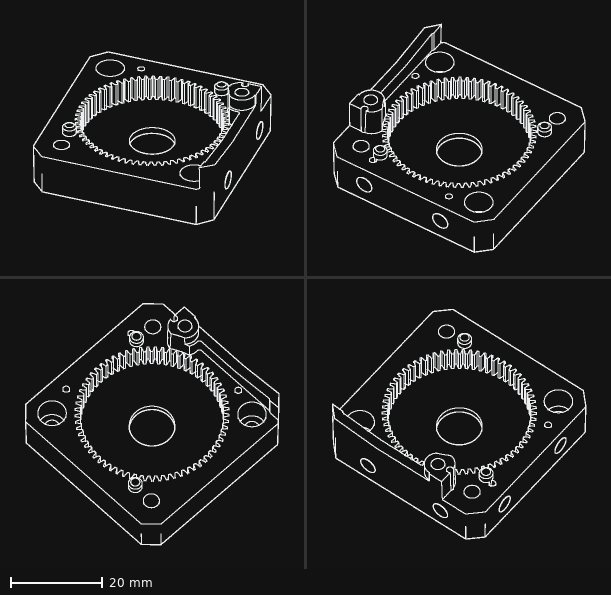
import cadquery as cq
import math


DRAFT_ANGLE = 1.0
DRAFT = math.tan(math.radians(DRAFT_ANGLE))
TOP_WIDTH = 42.32
BASE_HEIGHT = 9.6
TOTAL_HEIGHT = 16.3
CORNER_CUT = 3.0
POST_HEIGHT = TOTAL_HEIGHT - BASE_HEIGHT

TEETH = 65
TIP_RADIUS = 15.7
ROOT_RADIUS = 16.9
GAP_WIDTH_AT_TIP = 1.0
GAP_WIDTH_AT_ROOT = 0.4
GEAR_DEPTH = 5.45
FIRST_GAP_ANGLE = -90.0
BORE_DIAMETER = 10.0
WEB_THICKNESS = 1.55
PILOT_DIAMETER = 22.07
PILOT_DEPTH = BASE_HEIGHT - GEAR_DEPTH - WEB_THICKNESS

SCREW_OFFSET = 15.5
SCREW_DIAMETER = 3.23
SCREW_MOUTH_DIAMETER = 3.52
COUNTERBORE_DIAMETER = 6.25
COUNTERBORE_DEPTH = 5.95

DOWEL_DIAMETER = 3.0
DOWEL_EXPOSED = 2.0
DOWEL_SUNK = 2.0
DOWEL_CHAMFER = 0.5
DOWEL_SPOTS = [(10.5, SCREW_OFFSET), (-SCREW_OFFSET, -10.5)]

INSERT_DIAMETER = 4.0
INSERT_HEIGHT = 4.8
INSERT_POSITIONS = [-9.05, 11.0]
SIGHT_OFFSET = 17.6
SIGHT_DIAMETER = 1.53
INSERT_INNER_END = SIGHT_OFFSET - SIGHT_DIAMETER / 2
INSERT_LENGTH = 4.15

WALL_INNER = 18.9
WALL_FOOT_INNER = 18.6
WALL_STEP_START = -17.5
WALL_STEP_END = -17.95
WALL_TOP = 13.6
RAMP_START = -6.95
RAMP_ANGLE = 7.0

POST_X = 18.0
POST_Y = 8.0
POST_RADIUS = 3.0
POST_HOLE_DIAMETER = 3.0
SHOULDER_X = 17.45
SHOULDER_Y = 8.45
POST_BACK = 11.5
FOOT_RADIUS = 3.65
FOOT_CORNER_RADIUS = 0.5
FOOT_FRONT = POST_Y - FOOT_RADIUS

BEYOND = 25.45


def drafted_block(height):
    """Square block with cut corners whose sides lean outwards towards the top."""
    bottom_width = TOP_WIDTH - 2 * BASE_HEIGHT * DRAFT
    half = bottom_width / 2
    inset = half - CORNER_CUT
    corners = [
        (inset, -half), (half, -inset), (half, inset), (inset, half),
        (-inset, half), (-half, inset), (-half, -inset), (-inset, -half),
    ]
    return cq.Workplane().polyline(corners).close().extrude(height, taper=-DRAFT_ANGLE)


def cylinder(x, y, z, diameter, height):
    return cq.Workplane(origin=(x, y, z)).circle(diameter / 2).extrude(height)


def drafted_hole(x, y, top, mouth_diameter, depth):
    """Round hole that narrows downwards from its mouth."""
    return cq.Workplane(origin=(x, y, top)).circle(mouth_diameter / 2).extrude(-depth, taper=DRAFT_ANGLE)


def gear_cavity():
    """Toothed pocket of the ring gear, with straight-sided tooth gaps."""
    floor = BASE_HEIGHT - GEAR_DEPTH
    cavity = cylinder(0, 0, floor, 2 * TIP_RADIUS, GEAR_DEPTH)
    flank_slope = (GAP_WIDTH_AT_TIP - GAP_WIDTH_AT_ROOT) / (ROOT_RADIUS - TIP_RADIUS)
    overlap = 0.42
    inner_width = GAP_WIDTH_AT_TIP + flank_slope * overlap
    gap = (
        cq.Workplane(origin=(0, 0, floor))
        .polyline([
            (TIP_RADIUS - overlap, -inner_width / 2),
            (ROOT_RADIUS, -GAP_WIDTH_AT_ROOT / 2),
            (ROOT_RADIUS, GAP_WIDTH_AT_ROOT / 2),
            (TIP_RADIUS - overlap, inner_width / 2),
        ])
        .close()
        .extrude(GEAR_DEPTH)
    )
    gaps = []
    for tooth in range(TEETH):
        angle = FIRST_GAP_ANGLE + tooth * 360 / TEETH
        gaps.append(gap.rotate((0, 0, 0), (0, 0, 1), angle).val())
    return cq.Workplane(cavity.val().fuse(*gaps))


def axial_bores():
    bore = cylinder(0, 0, 0, BORE_DIAMETER, BASE_HEIGHT)
    pilot = cylinder(0, 0, 0, PILOT_DIAMETER, PILOT_DEPTH)
    return bore.union(pilot)


def screw_holes():
    """Through holes in all four corners, counterbored on one diagonal."""
    holes = cq.Workplane()
    for x_side in (-1, 1):
        for y_side in (-1, 1):
            x = x_side * SCREW_OFFSET
            y = y_side * SCREW_OFFSET
            if x_side == y_side:
                holes = holes.add(drafted_hole(x, y, BASE_HEIGHT, SCREW_MOUTH_DIAMETER, BASE_HEIGHT))
            else:
                holes = holes.add(cylinder(x, y, 0, SCREW_DIAMETER, BASE_HEIGHT))
                holes = holes.add(drafted_hole(x, y, BASE_HEIGHT, COUNTERBORE_DIAMETER, COUNTERBORE_DEPTH))
    return holes.combine()


def wall():
    """Wall along the +X side, rising in a ramp towards -Y."""
    plan = (
        cq.Workplane(origin=(0, 0, BASE_HEIGHT))
        .moveTo(BEYOND, SHOULDER_Y)
        .lineTo(WALL_INNER, SHOULDER_Y)
        .lineTo(WALL_INNER, WALL_STEP_START)
        .lineTo(WALL_FOOT_INNER, WALL_STEP_END)
        .lineTo(WALL_FOOT_INNER, -BEYOND)
        .lineTo(BEYOND, -BEYOND)
        .close()
        .extrude(POST_HEIGHT)
    )
    ramp_end = WALL_TOP + (RAMP_START + BEYOND) * math.tan(math.radians(RAMP_ANGLE))
    profile = (
        cq.Workplane("YZ")
        .polyline([
            (SHOULDER_Y, 0), (SHOULDER_Y, WALL_TOP), (RAMP_START, WALL_TOP),
            (-BEYOND, ramp_end), (-BEYOND, 0),
        ])
        .close()
        .extrude(BEYOND)
    )
    return plan.intersect(profile)


def post():
    """Round post with a flat back, widened into a foot up to the level of the wall top."""
    foot_height = WALL_TOP - BASE_HEIGHT
    round_end = cylinder(POST_X, POST_Y, BASE_HEIGHT, 2 * POST_RADIUS, POST_HEIGHT)
    shoulder = (
        cq.Workplane(origin=(SHOULDER_X, SHOULDER_Y, TOTAL_HEIGHT))
        .circle(POST_RADIUS)
        .extrude(-POST_HEIGHT, taper=-DRAFT_ANGLE)
    )
    back = (
        cq.Workplane("YZ", origin=(SHOULDER_X, 0, 0))
        .polyline([
            (POST_Y, BASE_HEIGHT), (POST_Y, TOTAL_HEIGHT), (POST_BACK, TOTAL_HEIGHT),
            (POST_BACK + POST_HEIGHT * DRAFT, BASE_HEIGHT),
        ])
        .close()
        .extrude(BEYOND - SHOULDER_X)
    )
    foot = (
        cq.Workplane(origin=(POST_X, POST_Y, BASE_HEIGHT))
        .moveTo(-FOOT_RADIUS, 0)
        .threePointArc((0, -FOOT_RADIUS), (FOOT_RADIUS, 0))
        .close()
        .extrude(foot_height)
    )
    corner = (
        cq.Workplane(origin=(0, 0, BASE_HEIGHT))
        .moveTo(POST_X, POST_Y)
        .lineTo(POST_X, FOOT_FRONT)
        .lineTo(WALL_INNER - FOOT_CORNER_RADIUS, FOOT_FRONT)
        .radiusArc((WALL_INNER, FOOT_FRONT - FOOT_CORNER_RADIUS), FOOT_CORNER_RADIUS)
        .lineTo(BEYOND, FOOT_FRONT - FOOT_CORNER_RADIUS)
        .lineTo(BEYOND, POST_Y)
        .close()
        .extrude(foot_height)
    )
    gear_clearance = cylinder(0, 0, BASE_HEIGHT, 2 * ROOT_RADIUS, POST_HEIGHT)
    body = foot.union(round_end).union(shoulder).union(back).union(corner)
    return body.cut(gear_clearance)


def dowel(spot):
    """Round pin, chamfered at the top and sunk into the housing."""
    x, y = spot
    pin = cylinder(x, y, BASE_HEIGHT - DOWEL_SUNK, DOWEL_DIAMETER, DOWEL_SUNK + DOWEL_EXPOSED)
    return pin.faces(">Z").chamfer(DOWEL_CHAMFER)


def side_cylinder(x, length):
    """Horizontal cylinder that runs in +Y from the inner end of an insert."""
    return (
        cq.Workplane("XZ", origin=(x, INSERT_INNER_END, INSERT_HEIGHT))
        .circle(INSERT_DIAMETER / 2)
        .extrude(-length)
    )


def insert(x):
    """Round insert that stops just short of the drafted side face."""
    return side_cylinder(x, INSERT_LENGTH)


def insert_bore(x):
    """Bore for an insert, open at the side face."""
    return side_cylinder(x, BEYOND - INSERT_INNER_END)


def sight_hole(x):
    """Small hole down to an insert, open above the top face as a notch in the post."""
    hole = drafted_hole(x, SIGHT_OFFSET, BASE_HEIGHT, SIGHT_DIAMETER, BASE_HEIGHT - INSERT_HEIGHT)
    return hole.union(cylinder(x, SIGHT_OFFSET, BASE_HEIGHT, SIGHT_DIAMETER, POST_HEIGHT))


def back_and_right(shape_at):
    """Shapes along the +Y side and the same ones mirrored to the +X side."""
    shapes = []
    for position in INSERT_POSITIONS:
        shape = shape_at(position)
        shapes.append(shape)
        shapes.append(shape.mirror("YZ").rotate((0, 0, 0), (0, 0, 1), -90))
    return shapes


dowels = [dowel(spot) for spot in DOWEL_SPOTS]
inserts = back_and_right(insert)

housing = drafted_block(BASE_HEIGHT)
housing = housing.union(wall().union(post()).intersect(drafted_block(TOTAL_HEIGHT)))
housing = housing.cut(cylinder(POST_X, POST_Y, BASE_HEIGHT, POST_HOLE_DIAMETER, POST_HEIGHT))
housing = housing.cut(gear_cavity()).cut(axial_bores()).cut(screw_holes())
for hole in back_and_right(insert_bore) + back_and_right(sight_hole) + dowels:
    housing = housing.cut(hole)

result = cq.Compound.makeCompound([
    housing.val(),
    *[pin.val() for pin in dowels],
    *[side_insert.val() for side_insert in inserts],
])